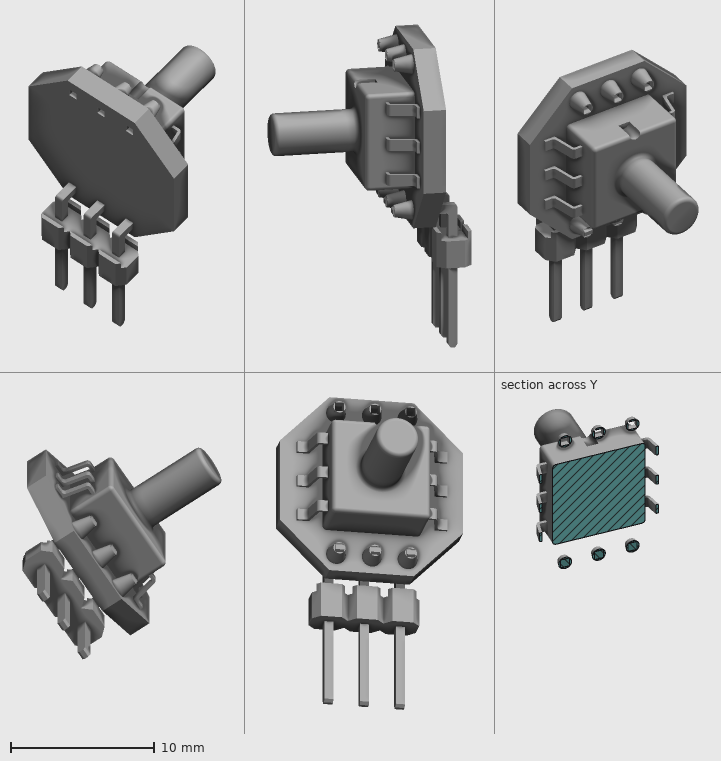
import cadquery as cq
import math

board_size = 13.0
board_corner = 3.5
board_thickness = 1.6

pin_count = 3
pin_pitch = 2.54
pin_size = 0.64
row_z = 5.3
cone_base_diameter = 1.4
cone_tip_diameter = 0.85
cone_length = 1.3

sensor_size = 7.0
sensor_height = 3.5
sensor_fillet = 0.3
port_diameter = 3.0
port_length = 6.0
port_fillet = 0.3
notch_diameter = 0.88
notch_length = 1.5

lead_width = 0.8
lead_thickness = 0.22
lead_top = 2.1
lead_shoulder_x = 4.24
lead_slant_run = 0.4
lead_toe_x = 5.33
lead_upper_radius = 0.28
lead_lower_radius = 0.1
lead_embed = 0.5

header_depth = 2.5
header_base_height = 1.96
header_rib_height = 0.54
header_rib_thickness = 0.3
header_top_gap = 0.32
header_corner_x = 0.53
header_corner_y = 0.6
pin_bottom_z = -15.36
pin_tip_y = 3.02
pin_tip_inset = 0.16
pin_tip_length = 0.22
pin_outer_bend_radius = 0.2
pin_inner_bend_radius = 0.15

sensor_top_y = board_thickness + sensor_height
pin_xs = [(i - (pin_count - 1) / 2) * pin_pitch for i in range(pin_count)]


def plane_facing_back(y):
    """XZ work plane at the given Y, extruding toward +Y; its local y axis is -Z."""
    return cq.Workplane(cq.Plane(origin=(0, y, 0), xDir=(1, 0, 0), normal=(0, 1, 0)))


def make_board():
    board = plane_facing_back(0).rect(board_size, board_size).extrude(board_thickness)
    return board.edges("|Y").chamfer(board_corner)


def make_solder_cone(x, z):
    return (
        plane_facing_back(board_thickness)
        .center(x, -z)
        .circle(cone_base_diameter / 2)
        .workplane(offset=cone_length)
        .circle(cone_tip_diameter / 2)
        .loft()
    )


def make_pin_hole(x, z):
    depth = board_thickness + cone_length
    return plane_facing_back(0).center(x, -z).rect(pin_size, pin_size).extrude(depth)


def make_sensor():
    housing = plane_facing_back(board_thickness).rect(sensor_size, sensor_size).extrude(sensor_height)
    housing = housing.edges("|Y or >Y").fillet(sensor_fillet)

    notch = (
        plane_facing_back(sensor_top_y - notch_length)
        .center(0, -sensor_size / 2)
        .circle(notch_diameter / 2)
        .extrude(notch_length)
    )

    radius = port_diameter / 2
    port_end_y = sensor_top_y + port_length
    port = (
        cq.Workplane("XY")
        .moveTo(0, board_thickness)
        .lineTo(radius + port_fillet, board_thickness)
        .lineTo(radius + port_fillet, sensor_top_y)
        .radiusArc((radius, sensor_top_y + port_fillet), port_fillet)
        .lineTo(radius, port_end_y - port_fillet)
        .radiusArc((radius - port_fillet, port_end_y), -port_fillet)
        .lineTo(0, port_end_y)
        .close()
        .revolve(360, (0, 0, 0), (0, 1, 0))
    )
    return housing.cut(notch).union(port)


def make_lead(z):
    """Gull-wing lead on the +X side, from the sensor wall down to the board."""
    drop = lead_top - lead_thickness
    mitre = lead_thickness * math.tan(math.atan2(drop, lead_slant_run) / 2)
    root_x = sensor_size / 2 - lead_embed
    top_y = board_thickness + lead_top
    heel_x = lead_shoulder_x + lead_slant_run
    foot_y = board_thickness + lead_thickness
    lead = (
        cq.Workplane("XY", origin=(0, 0, z - lead_width / 2))
        .moveTo(root_x, top_y)
        .lineTo(lead_shoulder_x, top_y)
        .lineTo(heel_x, foot_y)
        .lineTo(lead_toe_x, foot_y)
        .lineTo(lead_toe_x, board_thickness)
        .lineTo(heel_x - mitre, board_thickness)
        .lineTo(lead_shoulder_x - mitre, top_y - lead_thickness)
        .lineTo(root_x, top_y - lead_thickness)
        .close()
        .extrude(lead_width)
    )

    def bend_edge(x, y):
        return cq.selectors.NearestToPointSelector((x, y, z))

    lead = lead.edges(bend_edge(lead_shoulder_x, top_y)).fillet(lead_upper_radius)
    lead = lead.edges(bend_edge(heel_x, foot_y)).fillet(lead_upper_radius)
    lead = lead.edges(bend_edge(heel_x - mitre, board_thickness)).fillet(lead_lower_radius)
    return lead.edges(bend_edge(lead_shoulder_x - mitre, top_y - lead_thickness)).fillet(lead_lower_radius)


def make_sensor_board():
    """Board, solder cones and sensor with its leads, as one body."""
    body = make_board().union(make_sensor())
    for z in (-pin_pitch, 0, pin_pitch):
        lead = make_lead(z)
        body = body.union(lead).union(lead.mirror("YZ"))
    for x in pin_xs:
        for z in (row_z, -row_z):
            body = body.union(make_solder_cone(x, z)).cut(make_pin_hole(x, z))
    return body


def make_header_segment(x):
    """Octagonal block around one pin, with a rib standing along its front and back sides."""
    half_width = pin_pitch / 2
    half_depth = header_depth / 2
    height = header_base_height + header_rib_height
    bottom_z = -board_size / 2 - header_top_gap - height
    corner = [
        (half_width, half_depth - header_corner_y),
        (half_width - header_corner_x, half_depth),
    ]
    outline = corner + [(-px, py) for px, py in reversed(corner)]
    outline += [(-px, -py) for px, py in outline]
    block = cq.Workplane("XY", origin=(x, -half_depth, bottom_z)).polyline(outline).close().extrude(height)
    trough = (
        cq.Workplane("XY", origin=(x, -half_depth, bottom_z + header_base_height))
        .rect(pin_pitch, header_depth - 2 * header_rib_thickness)
        .extrude(header_rib_height)
    )
    return block.cut(trough)


def make_bent_pin(x):
    """Square pin running down through the header and back through the board."""
    half = pin_size / 2
    narrow = half - pin_tip_inset
    axis_y = -header_depth / 2
    axis_z = -row_z
    back_y = pin_tip_y - pin_tip_length
    low_z = pin_bottom_z + pin_tip_length
    inner_y = axis_y + half
    inner_z = axis_z - half
    outer_y = axis_y - half
    outer_z = axis_z + half
    return (
        cq.Workplane("YZ", origin=(x - half, 0, 0))
        .moveTo(back_y, outer_z)
        .lineTo(pin_tip_y, axis_z + narrow)
        .lineTo(pin_tip_y, axis_z - narrow)
        .lineTo(back_y, inner_z)
        .lineTo(inner_y + pin_inner_bend_radius, inner_z)
        .radiusArc((inner_y, inner_z - pin_inner_bend_radius), -pin_inner_bend_radius)
        .lineTo(inner_y, low_z)
        .lineTo(axis_y + narrow, pin_bottom_z)
        .lineTo(axis_y - narrow, pin_bottom_z)
        .lineTo(outer_y, low_z)
        .lineTo(outer_y, outer_z - pin_outer_bend_radius)
        .radiusArc((outer_y + pin_outer_bend_radius, outer_z), pin_outer_bend_radius)
        .close()
        .extrude(pin_size)
    )


def make_header():
    """Insulator and its bent pins, as one body."""
    header = cq.Workplane("XY")
    for x in pin_xs:
        header = header.union(make_header_segment(x))
    for x in pin_xs:
        header = header.union(make_bent_pin(x))
    return header


sensor_board = make_sensor_board()
pin_header = make_header()

result = cq.Compound.makeCompound([sensor_board.val(), pin_header.val()])